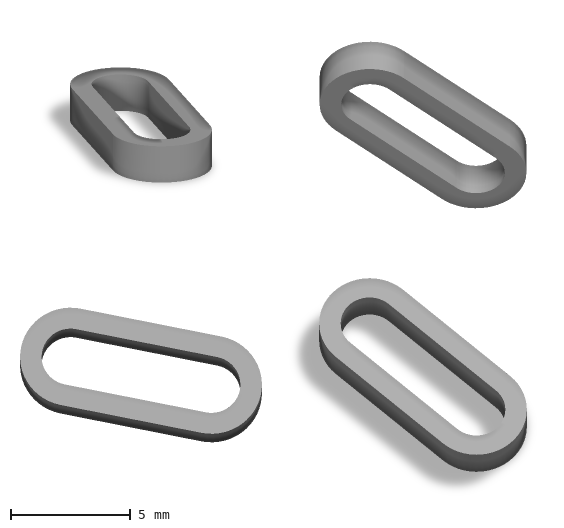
import cadquery as cq

length = 10.2
width = 4.2
height = 1.6
wall = 0.9

opening_length = length - 2 * wall
opening_width = width - 2 * wall


def rounded_bar(bar_length, bar_width):
    """Upright bar with full-round ends, lying along X and standing on Z = 0."""
    return cq.Workplane("XY").slot2D(bar_length, bar_width).extrude(height)


result = rounded_bar(length, width).cut(rounded_bar(opening_length, opening_width))